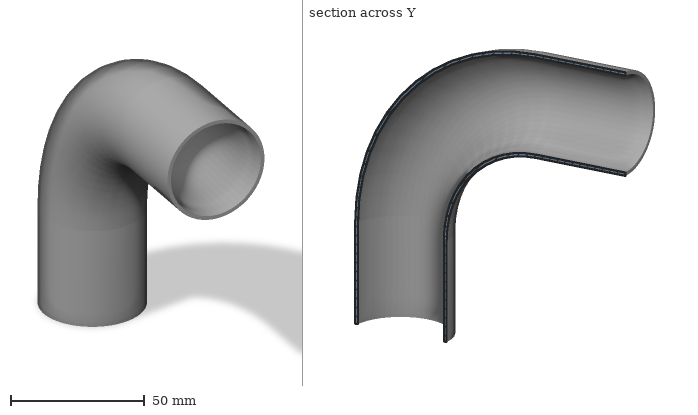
import cadquery as cq

overall_size = 120.5
outer_diameter = 41.0
bore_diameter = 38.0
straight_length = 40.0

outer_radius = outer_diameter / 2
bend_radius = overall_size - outer_radius - straight_length


def bend_solid(diameter):
    """Round bar: straight up, a quarter bend, then straight along +X."""
    lower_leg = cq.Workplane("XY").circle(diameter / 2).extrude(straight_length)
    elbow = (
        cq.Workplane("XY", origin=(0, 0, straight_length))
        .circle(diameter / 2)
        .revolve(90, (bend_radius, 0), (bend_radius, 1))
    )
    upper_leg = (
        cq.Workplane("YZ", origin=(bend_radius, 0, straight_length + bend_radius))
        .circle(diameter / 2)
        .extrude(straight_length)
    )
    return lower_leg.union(elbow).union(upper_leg)


result = bend_solid(outer_diameter).cut(bend_solid(bore_diameter))